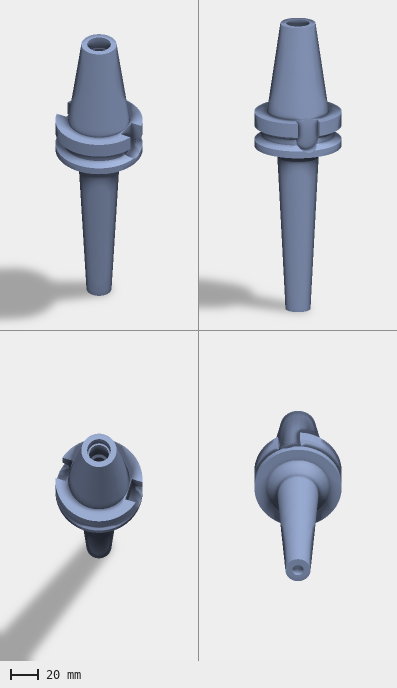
import cadquery as cq

total_height = 215.5
gauge_line_z = 150.0
flange_top_z = 148.8
upper_rim_bottom_z = 138.5
groove_top_z = 135.3
groove_bottom_z = 131.2
lower_rim_top_z = 128.2
flange_bottom_z = 123.0
neck_top_z = 115.0

taper_small_diameter = 25.5
gauge_diameter = 44.4
flange_diameter = 63.0
groove_diameter = 53.0
collar_diameter = 45.7
neck_top_diameter = 30.0
nose_diameter = 18.0

slot_width = 16.2
slot_floor_x = 22.5
slot_bottom_z = 126.9

counterbore_diameter = 17.0
counterbore_depth = 9.0
thread_diameter = 14.2
thread_depth = 30.2
nose_bore_diameter = 10.0
nose_bore_depth = 43.0
through_diameter = 8.2


def turned_body():
    """Revolve the half outline of the taper, grooved flange and slender nose."""
    outline = [
        (0, 0),
        (nose_diameter / 2, 0),
        (neck_top_diameter / 2, neck_top_z),
        (collar_diameter / 2, flange_bottom_z),
        (flange_diameter / 2, flange_bottom_z),
        (flange_diameter / 2, lower_rim_top_z),
        (groove_diameter / 2, groove_bottom_z),
        (groove_diameter / 2, groove_top_z),
        (flange_diameter / 2, upper_rim_bottom_z),
        (flange_diameter / 2, flange_top_z),
        (gauge_diameter / 2, flange_top_z),
        (gauge_diameter / 2, gauge_line_z),
        (taper_small_diameter / 2, total_height),
        (0, total_height),
    ]
    return cq.Workplane("XZ").polyline(outline).close().revolve(360, (0, 0), (0, 1))


def drive_slot(side):
    """Round-bottomed slot cutter, open at the flange top; side is -1 or +1 along X."""
    slot_radius = slot_width / 2
    arc_center_z = slot_bottom_z + slot_radius
    return (
        cq.Workplane("YZ", origin=(side * slot_floor_x, 0, 0))
        .moveTo(-slot_radius, flange_top_z)
        .lineTo(-slot_radius, arc_center_z)
        .threePointArc((0, slot_bottom_z), (slot_radius, arc_center_z))
        .lineTo(slot_radius, flange_top_z)
        .close()
        .extrude(side * flange_diameter / 2)
    )


def bore(diameter, depth):
    """Cylinder cutter going down from the top face."""
    return (
        cq.Workplane("XY", origin=(0, 0, total_height))
        .circle(diameter / 2)
        .extrude(-depth)
    )


result = turned_body()

for side in (-1, 1):
    result = result.cut(drive_slot(side))

for diameter, depth in (
    (counterbore_diameter, counterbore_depth),
    (thread_diameter, thread_depth),
    (nose_bore_diameter, nose_bore_depth),
    (through_diameter, total_height),
):
    result = result.cut(bore(diameter, depth))